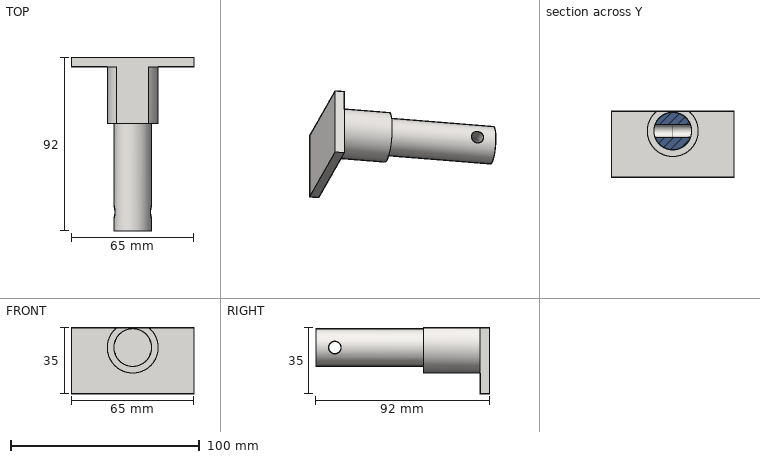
import cadquery as cq

plate_width = 65.0
plate_thickness = 5.0
plate_height = 35.0

shaft_axis_depth = 10.5
collar_diameter = 27.0
collar_length = 30.0
pin_diameter = 20.0
pin_length = 57.0

cross_hole_diameter = 6.5
cross_hole_end_distance = 10.0

plate_top = shaft_axis_depth
pin_end_y = -(collar_length + pin_length)


def make_plate():
    """Rectangular plate behind the shaft."""
    return cq.Workplane("XY").box(
        plate_width, plate_thickness, plate_height, centered=(True, False, False)
    ).translate((0, 0, plate_top - plate_height))


def make_collar():
    """Round collar with a flat on top, flush with the top edge of the plate."""
    collar = cq.Workplane("XZ").circle(collar_diameter / 2).extrude(collar_length)
    above_plate = cq.Workplane("XY", origin=(0, -collar_length / 2, plate_top)).box(
        collar_diameter, collar_length, collar_diameter, centered=(True, True, False)
    )
    return collar.cut(above_plate)


def make_pin():
    """Round pin continuing from the front face of the collar."""
    return cq.Workplane("XZ", origin=(0, -collar_length, 0)).circle(pin_diameter / 2).extrude(pin_length)


def make_cross_hole():
    """Cylinder that cuts the hole right through the pin."""
    hole_y = pin_end_y + cross_hole_end_distance
    return (
        cq.Workplane("YZ", origin=(0, hole_y, 0))
        .circle(cross_hole_diameter / 2)
        .extrude(pin_diameter, both=True)
    )


result = make_plate().union(make_collar()).union(make_pin()).cut(make_cross_hole())